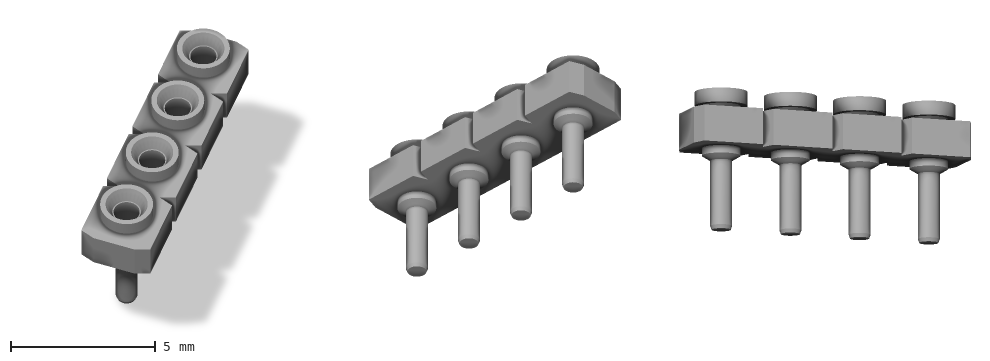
import cadquery as cq

CELL_COUNT = 4
ROW_LENGTH = 10.16
PITCH = ROW_LENGTH / CELL_COUNT
HOUSING_WIDTH = PITCH
HOUSING_HEIGHT = 1.26
CORNER_CUT_X = 0.52
CORNER_CUT_Y = 0.19

HEAD_DIAMETER = 1.83
BARREL_DIAMETER = 1.34
TAIL_DIAMETER = 0.76
TIP_DIAMETER = 0.66

HEAD_GAP = 0.22
HEAD_HEIGHT = 0.49
HEAD_BOTTOM = HOUSING_HEIGHT + HEAD_GAP
CONTACT_TOP = HEAD_BOTTOM + HEAD_HEIGHT
CONTACT_LENGTH = 4.83
CONTACT_BOTTOM = CONTACT_TOP - CONTACT_LENGTH
TIP_HEIGHT = 0.13
BARREL_BOTTOM = -0.26
BARREL_TAPER = 0.17

LEAD_IN_TOP_DIAMETER = 1.45
LEAD_IN_BOTTOM_DIAMETER = 1.0
LEAD_IN_DEPTH = 0.41
BORE_DIAMETER = 0.9
BORE_DEPTH = 1.22
PILOT_DIAMETER = 0.54
PILOT_DEPTH = 0.3


def cell_center_y(index):
    """Y position of one cell, with the row centred on the origin."""
    return (index - (CELL_COUNT - 1) / 2) * PITCH


def make_housing():
    """Row of chamfered cells, with one through hole per contact."""
    half_width = HOUSING_WIDTH / 2
    neck_half_width = half_width - CORNER_CUT_X
    side = [(neck_half_width, -ROW_LENGTH / 2)]
    for index in range(CELL_COUNT):
        y = cell_center_y(index)
        side += [
            (half_width, y - PITCH / 2 + CORNER_CUT_Y),
            (half_width, y + PITCH / 2 - CORNER_CUT_Y),
            (neck_half_width, y + PITCH / 2),
        ]
    opposite_side = [(-x, y) for x, y in reversed(side)]
    centers = [(0, cell_center_y(index)) for index in range(CELL_COUNT)]
    block = cq.Workplane("XY").polyline(side + opposite_side).close().extrude(HOUSING_HEIGHT)
    holes = cq.Workplane("XY").pushPoints(centers).circle(BARREL_DIAMETER / 2).extrude(HOUSING_HEIGHT)
    return block.cut(holes)


def make_contact(index):
    """Turned contact: headed barrel with a stepped socket above and a thin tail below."""
    lead_in_bottom = CONTACT_TOP - LEAD_IN_DEPTH
    bore_bottom = lead_in_bottom - BORE_DEPTH
    pilot_top = bore_bottom - (BORE_DIAMETER - PILOT_DIAMETER) / 2
    pilot_bottom = pilot_top - PILOT_DEPTH
    socket_tip = pilot_bottom - PILOT_DIAMETER / 2
    half_section = [
        (0, CONTACT_BOTTOM),
        (TIP_DIAMETER / 2, CONTACT_BOTTOM),
        (TAIL_DIAMETER / 2, CONTACT_BOTTOM + TIP_HEIGHT),
        (TAIL_DIAMETER / 2, BARREL_BOTTOM - BARREL_TAPER),
        (BARREL_DIAMETER / 2, BARREL_BOTTOM),
        (BARREL_DIAMETER / 2, HEAD_BOTTOM),
        (HEAD_DIAMETER / 2, HEAD_BOTTOM),
        (HEAD_DIAMETER / 2, CONTACT_TOP),
        (LEAD_IN_TOP_DIAMETER / 2, CONTACT_TOP),
        (LEAD_IN_BOTTOM_DIAMETER / 2, lead_in_bottom),
        (BORE_DIAMETER / 2, lead_in_bottom),
        (BORE_DIAMETER / 2, bore_bottom),
        (PILOT_DIAMETER / 2, pilot_top),
        (PILOT_DIAMETER / 2, pilot_bottom),
        (0, socket_tip),
    ]
    contact = cq.Workplane("XZ").polyline(half_section).close().revolve(360, (0, 0), (0, 1))
    return contact.translate((0, cell_center_y(index), 0))


housing = make_housing()
contacts = [make_contact(index) for index in range(CELL_COUNT)]
result = cq.Compound.makeCompound([housing.val(), *[contact.val() for contact in contacts]])